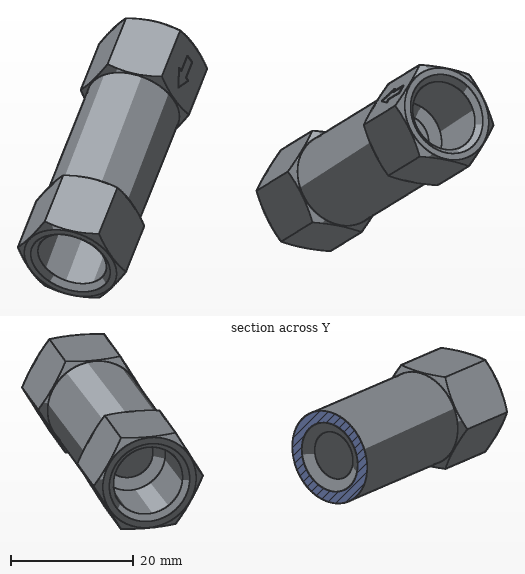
import cadquery as cq
import math

length = 47.5
across_flats = 16.0
across_corners = across_flats / math.cos(math.radians(30))
hex_length = 11.95
barrel_diameter = 15.7

chamfer_face_diameter = 15.75
chamfer_angle = 30.0

countersink_diameter = 13.6
bore_diameter = 11.7
floor_diameter = 8.05
countersink_depth = 0.95
bore_depth = 11.95
seat_angle = 30.0
seat_depth = (bore_diameter - floor_diameter) / 2 * math.tan(math.radians(seat_angle))

arrow_depth = 0.1
arrow_length = 6.45
arrow_head_length = 3.0
arrow_head_width = 3.15
arrow_shaft_width = 1.6
arrow_tip_y = 14.4


def revolve_about_y(points):
    """Revolve a closed (radius, y) outline around the Y axis."""
    return cq.Workplane("XY").polyline(points).close().revolve(360, (0, 0, 0), (0, 1, 0))


def hex_end():
    """Front hexagon, corners on X, with its corners turned off at both ends."""
    prism = (
        cq.Workplane("XZ", origin=(0, -length / 2, 0))
        .polygon(6, across_corners)
        .extrude(-hex_length)
    )
    front = -length / 2
    back = front + hex_length
    face_radius = chamfer_face_diameter / 2
    corner_radius = across_corners / 2
    chamfer_length = (corner_radius - face_radius) * math.tan(math.radians(chamfer_angle))
    envelope = revolve_about_y([
        (0, front),
        (face_radius, front),
        (corner_radius, front + chamfer_length),
        (corner_radius, back - chamfer_length),
        (face_radius, back),
        (0, back),
    ])
    return prism.intersect(envelope)


def port():
    """Cutter for the front port."""
    front = -length / 2
    return revolve_about_y([
        (0, front),
        (countersink_diameter / 2, front),
        (bore_diameter / 2, front + countersink_depth),
        (bore_diameter / 2, front + bore_depth),
        (floor_diameter / 2, front + bore_depth + seat_depth),
        (0, front + bore_depth + seat_depth),
    ])


def flow_arrow():
    """Cutter for the arrow, pointing to -Y, drawn on the flat and sunk into it."""
    slope = math.radians(30)
    normal = (math.cos(slope), 0, math.sin(slope))
    origin = (normal[0] * across_flats / 2, arrow_tip_y, normal[2] * across_flats / 2)
    across = (math.sin(slope), 0, -math.cos(slope))
    flat = cq.Plane(origin=origin, xDir=across, normal=normal)
    half_head = arrow_head_width / 2
    half_shaft = arrow_shaft_width / 2
    outline = [
        (0, 0),
        (half_head, arrow_head_length),
        (half_shaft, arrow_head_length),
        (half_shaft, arrow_length),
        (-half_shaft, arrow_length),
        (-half_shaft, arrow_head_length),
        (-half_head, arrow_head_length),
    ]
    return cq.Workplane(flat).polyline(outline).close().extrude(-arrow_depth)


def both_ends(shape):
    """Return a front shape together with its mirror image at the rear."""
    return shape.union(shape.mirror("XZ"))


barrel_half_length = (length - hex_length) / 2
barrel = cq.Workplane("XZ").circle(barrel_diameter / 2).extrude(barrel_half_length, both=True)
body = barrel.union(both_ends(hex_end()))
result = body.cut(both_ends(port())).cut(flow_arrow())